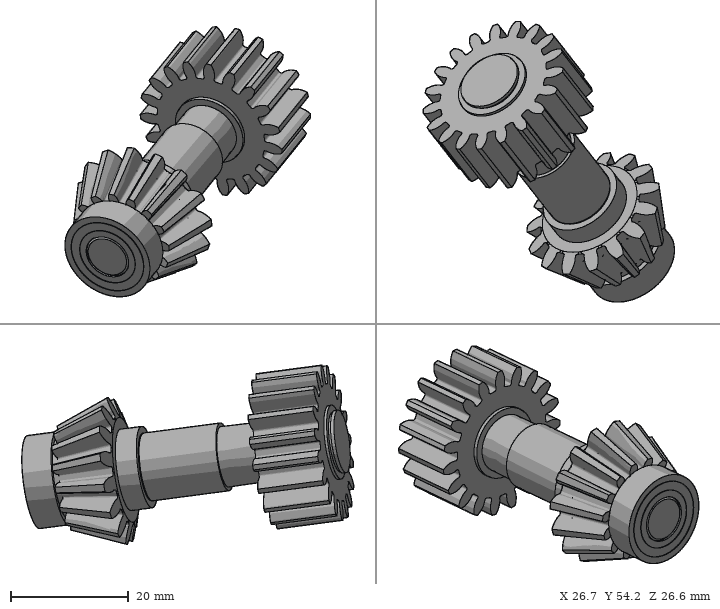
import cadquery as cq
import math

length = 54.25

bearing_dia = 16.0
bearing_end = 5.15
seal_outer_dia = 13.6
seal_inner_dia = 10.4
seal_depth = 0.1
bore_dia = 8.0
bore_chamfer = 0.4

hub_dia = 14.0
hub_end = 19.9
relief_width = 0.15
relief_dia = 11.55
journal_dia = 11.65
journal_end = 33.6
taper_start_dia = 10.4
taper_end_dia = 10.25
collar_dia = 12.7
collar_start = 40.55
collar_end = 53.2
neck_dia = 10.15
rim_dia = 10.75
rim_start = 53.65

spur_teeth = 19
spur_start = 41.3
spur_end = 52.7
spur_phase = 1.85
spur_root_radius = 10.1
spur_tip_radius = 13.35
spur_base_half_width = 0.9
spur_flank_half_width = 1.05
spur_tip_half_width = 0.45
spur_fillet = 0.45

bevel_teeth = 15
bevel_phase = 180
bevel_tip_station = 14.9
bevel_tip_radius = 12.65
bevel_front_station = 5.6
bevel_front_tip_radius = 9.0
bevel_back = 16.2
bevel_back_radius = 9.0
bevel_root_radius = 9.4
bevel_root_station = 16.05
bevel_root_front = 6.1
bevel_base_half_width = 1.15
bevel_flank_half_width = 1.2
bevel_tip_half_width = 0.6
bevel_fillet = 0.45
bevel_tip_allowance = 0.1

overlap = 0.55


def section(station):
    """Sketch plane square to the shaft, with local Y along +Z."""
    plane = cq.Plane(origin=(0, station, 0), xDir=(-1, 0, 0), normal=(0, 1, 0))
    return cq.Workplane(plane)


def turned(points):
    """Solid turned about the shaft axis from (radius, station) points."""
    return cq.Workplane("XY").polyline(points).close().revolve(360, (0, 0), (0, 1))


def circle_height(radius, offset):
    """Height of a circle about the axis at a sideways offset."""
    return math.sqrt(radius**2 - offset**2)


def tooth_outline(sketch, root_radius, tip_radius, base, flank, tip, fillet):
    """Upright tooth with convex flanks and root fillets; base, flank and tip are half widths."""
    foot = base + fillet
    foot_height = circle_height(root_radius, foot)
    base_height = foot_height + fillet
    flank_height = (root_radius + tip_radius) / 2
    tip_height = circle_height(tip_radius, tip)
    fillet_middle = fillet * (1 - math.sqrt(0.5))
    bend = (base + fillet_middle, foot_height + fillet_middle)
    return (
        sketch.moveTo(-foot, foot_height - overlap)
        .lineTo(-foot, foot_height)
        .threePointArc((-bend[0], bend[1]), (-base, base_height))
        .threePointArc((-flank, flank_height), (-tip, tip_height))
        .threePointArc((0, tip_radius), (tip, tip_height))
        .threePointArc((flank, flank_height), (base, base_height))
        .threePointArc(bend, (foot, foot_height))
        .lineTo(foot, foot_height - overlap)
        .close()
    )


def ring_of(body, tooth, count, phase):
    """Join evenly spaced copies of a tooth to a body."""
    for index in range(count):
        angle = phase + index * 360 / count
        body = body.union(tooth.rotate((0, 0, 0), (0, 1, 0), -angle))
    return body


def make_shaft():
    shaft = turned([
        (0, 0),
        (bearing_dia / 2, 0),
        (bearing_dia / 2, bearing_end),
        (hub_dia / 2, bearing_end),
        (hub_dia / 2, hub_end),
        (relief_dia / 2, hub_end),
        (relief_dia / 2, hub_end + relief_width),
        (journal_dia / 2, hub_end + relief_width),
        (journal_dia / 2, journal_end),
        (taper_start_dia / 2, journal_end),
        (taper_end_dia / 2, collar_start),
        (collar_dia / 2, collar_start),
        (collar_dia / 2, collar_end),
        (neck_dia / 2, collar_end),
        (rim_dia / 2, rim_start),
        (rim_dia / 2, length),
        (0, length),
    ])
    seal_recess = turned([
        (seal_inner_dia / 2, 0),
        (seal_outer_dia / 2, 0),
        (seal_outer_dia / 2, seal_depth),
        (seal_inner_dia / 2, seal_depth),
    ])
    pin_chamfer = turned([
        (bore_dia / 2 - bore_chamfer, 0),
        (bore_dia / 2, 0),
        (bore_dia / 2, bore_chamfer),
    ])
    return shaft.cut(seal_recess).cut(pin_chamfer)


def make_spur_gear():
    width = spur_end - spur_start
    disc = section(spur_start).circle(spur_root_radius).extrude(width)
    tooth = tooth_outline(
        section(spur_start),
        spur_root_radius,
        spur_tip_radius,
        spur_base_half_width,
        spur_flank_half_width,
        spur_tip_half_width,
        spur_fillet,
    ).extrude(width)
    return ring_of(disc, tooth, spur_teeth, spur_phase)


def make_bevel_gear():
    hub_radius = hub_dia / 2
    root_body = turned([
        (0, bevel_root_front),
        (hub_radius, bevel_root_front),
        (bevel_root_radius, bevel_root_station),
        (bevel_back_radius, bevel_back),
        (0, bevel_back),
    ])
    envelope = turned([
        (0, bevel_root_front),
        (hub_radius, bevel_root_front),
        (bevel_front_tip_radius, bevel_front_station),
        (bevel_tip_radius, bevel_tip_station),
        (bevel_back_radius, bevel_back),
        (0, bevel_back),
    ])

    root_slope = (bevel_root_radius - hub_radius) / (bevel_root_station - bevel_root_front)
    tip_slope = (bevel_tip_radius - bevel_front_tip_radius) / (bevel_tip_station - bevel_front_station)

    def tooth_wire(station):
        root_radius = bevel_root_radius + root_slope * (station - bevel_root_station)
        tip_radius = bevel_tip_radius + tip_slope * (station - bevel_tip_station)
        scale = tip_radius / bevel_tip_radius
        return tooth_outline(
            section(station),
            root_radius,
            tip_radius + bevel_tip_allowance,
            bevel_base_half_width * scale,
            bevel_flank_half_width * scale,
            bevel_tip_half_width * scale,
            bevel_fillet * scale,
        ).wires().val()

    near = tooth_wire(bevel_front_station - overlap)
    far = tooth_wire(bevel_back + overlap)
    tooth = cq.Workplane(cq.Solid.makeLoft([near, far], True)).intersect(envelope)
    return ring_of(root_body, tooth, bevel_teeth, bevel_phase)


result = make_shaft().union(make_spur_gear()).union(make_bevel_gear())